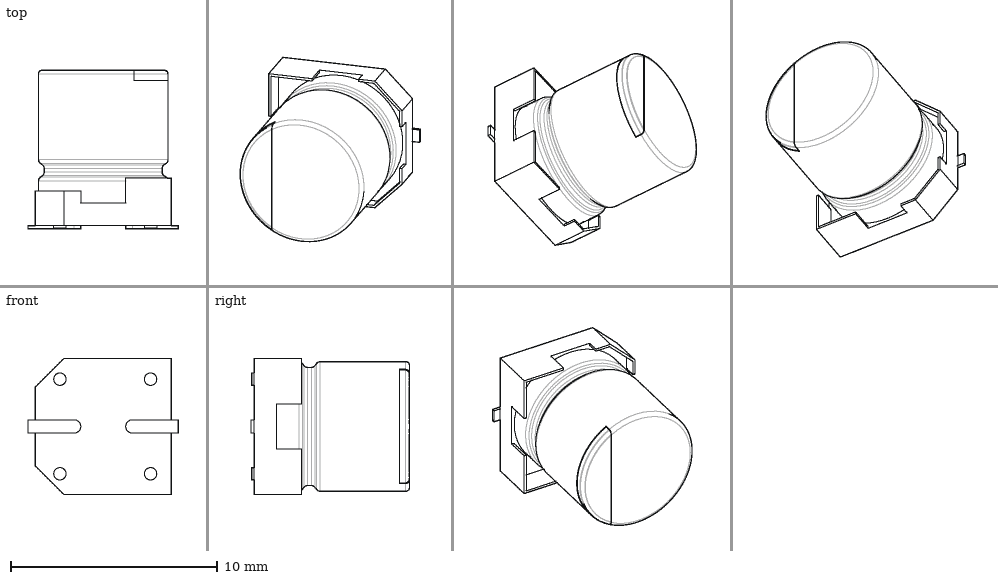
import cadquery as cq


lead_thickness = 0.155
lead_width = 0.65
lead_span = 7.3
foot_radius = 0.3
foot_height = 0.12
foot_left_x = -2.1
foot_right_x = 2.295
foot_z = 2.295

base_width = 6.6
corner_chamfer = 1.385
floor_top = 1.1
low_wall_top = 1.695
high_wall_top = 2.3
wall_gap = 2.18
wall_thickness = 0.12

total_length = 7.7
can_radius = 3.15
can_top = total_length - lead_thickness
rim_fillet = 0.19
groove_radius = 2.865
groove_center = 2.69
groove_mouth_width = 0.8
groove_floor_width = 0.4
groove_fillet = 0.215

mark_edge_x = 1.485
mark_depth = 0.5
mark_thickness = 0.04

half_base = base_width / 2
half_gap = wall_gap / 2


def y_up_plane(y):
    """Plane facing +Y at the given height; its local y points along -Z."""
    return cq.Workplane(cq.Plane(origin=(0, y, 0), xDir=(1, 0, 0), normal=(0, 1, 0)))


def make_can_blank():
    """Whole can including the volume later taken by the polarity mark."""
    mouth_half = groove_mouth_width / 2
    floor_half = groove_floor_width / 2
    blank = (
        cq.Workplane("XY")
        .moveTo(0, floor_top)
        .lineTo(can_radius, floor_top)
        .lineTo(can_radius, groove_center - mouth_half)
        .lineTo(groove_radius, groove_center - floor_half)
        .lineTo(groove_radius, groove_center + floor_half)
        .lineTo(can_radius, groove_center + mouth_half)
        .lineTo(can_radius, can_top)
        .lineTo(0, can_top)
        .close()
        .revolve(360, (0, 0, 0), (0, 1, 0))
    )
    groove_zone = cq.selectors.BoxSelector(
        (-can_radius, groove_center - groove_mouth_width, -can_radius),
        (can_radius, groove_center + groove_mouth_width, can_radius),
    )
    blank = blank.edges("%CIRCLE").edges(groove_zone).fillet(groove_fillet)
    return blank.faces(">Y").edges("%CIRCLE").fillet(rim_fillet)


def make_mark(can_blank):
    """Skin of the can end beyond the mark edge: the end face and a band around the side."""
    mark_bottom = can_top - mark_depth
    zone = (
        y_up_plane(mark_bottom)
        .center((mark_edge_x + can_radius) / 2, 0)
        .rect(can_radius - mark_edge_x, 2 * can_radius)
        .extrude(mark_depth)
    )
    core = (
        y_up_plane(mark_bottom)
        .circle(can_radius - mark_thickness)
        .extrude(mark_depth - mark_thickness)
        .faces(">Y")
        .edges()
        .fillet(rim_fillet - mark_thickness)
    )
    return can_blank.intersect(zone).cut(core)


def make_base():
    """Thin-walled chamfered square tray with taller corners on +X, a gap in each side and four feet."""
    base = y_up_plane(0).rect(base_width, base_width).extrude(high_wall_top)
    base = base.edges("|Y and <X").chamfer(corner_chamfer)

    outline = base.faces("<Y").wires().val().moved(cq.Location(cq.Vector(0, floor_top, 0)))
    pocket_outline = outline.offset2D(-wall_thickness, "intersection")[0]
    pocket = cq.Solid.extrudeLinear(pocket_outline, [], cq.Vector(0, high_wall_top - floor_top, 0))
    low_side = (
        y_up_plane(low_wall_top)
        .center(-half_base / 2, 0)
        .rect(half_base, base_width)
        .extrude(high_wall_top - low_wall_top)
    )
    base = base.cut(pocket).cut(low_side)
    for length_x, length_z in ((base_width, wall_gap), (wall_gap, base_width)):
        gap = y_up_plane(floor_top).rect(length_x, length_z).extrude(high_wall_top - floor_top)
        base = base.cut(gap)

    foot_points = [(x, z) for x in (foot_left_x, foot_right_x) for z in (-foot_z, foot_z)]
    feet = y_up_plane(-foot_height).pushPoints(foot_points).circle(foot_radius).extrude(foot_height)
    return base.union(feet)


def make_lead(side):
    """Flat lead under the base on side -1 or +1 along X, round at its inner end."""
    half_width = lead_width / 2
    outer_x = side * lead_span / 2
    arc_start_x = side * (half_gap + half_width)
    return (
        y_up_plane(-lead_thickness)
        .moveTo(outer_x, -half_width)
        .lineTo(arc_start_x, -half_width)
        .threePointArc((side * half_gap, 0), (arc_start_x, half_width))
        .lineTo(outer_x, half_width)
        .close()
        .extrude(lead_thickness)
    )


can_blank = make_can_blank()
mark = make_mark(can_blank)
can = can_blank.cut(mark)
base = make_base()
leads = [make_lead(side) for side in (-1, 1)]

result = cq.Compound.makeCompound(
    [can.val(), mark.val(), base.val(), *[lead.val() for lead in leads]]
)